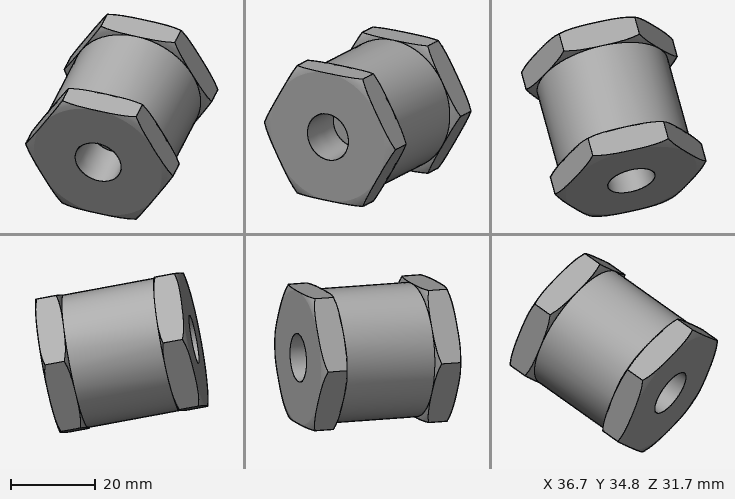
import cadquery as cq
import math

across_corners = 36.65
total_length = 34.8
across_flats = across_corners * math.cos(math.pi / 6)

hex_thickness = 6.35
corner_drop = 0.85
corner_round_radius = 5.85

bore_mouth_diameter = 11.45
bore_floor_diameter = 11.07
bore_depth = 11.0


def hex_end():
    """Hexagon centred on the axis, its corners rounded off by turning on both faces."""
    flat_radius = across_flats / 2
    corner_radius = across_corners / 2
    half = hex_thickness / 2
    prism = cq.Workplane("XZ").polygon(6, across_corners).extrude(half, both=True)
    turned_blank = (
        cq.Workplane("XY")
        .moveTo(0, -half)
        .lineTo(flat_radius, -half)
        .radiusArc((corner_radius, -half + corner_drop), -corner_round_radius)
        .lineTo(corner_radius, half - corner_drop)
        .radiusArc((flat_radius, half), -corner_round_radius)
        .lineTo(0, half)
        .close()
        .revolve(360, (0, 0, 0), (0, 1, 0))
    )
    return prism.intersect(turned_blank)


def front_bore():
    """Tapered bore, opening on the -Y end face."""
    mouth_y = -total_length / 2
    floor_y = mouth_y + bore_depth
    return (
        cq.Workplane("XY")
        .moveTo(0, mouth_y)
        .lineTo(bore_mouth_diameter / 2, mouth_y)
        .lineTo(bore_floor_diameter / 2, floor_y)
        .lineTo(0, floor_y)
        .close()
        .revolve(360, (0, 0, 0), (0, 1, 0))
    )


hex_offset = (total_length - hex_thickness) / 2
body_length = total_length - hex_thickness

body = cq.Workplane("XZ").circle(across_flats / 2).extrude(body_length / 2, both=True)
for side in (-1, 1):
    body = body.union(hex_end().translate((0, side * hex_offset, 0)))

bore = front_bore()
result = body.cut(bore).cut(bore.mirror("XZ"))